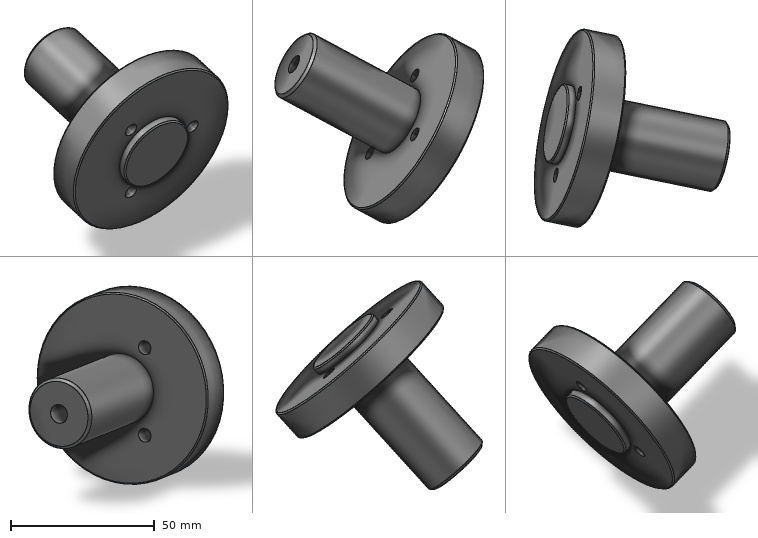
import cadquery as cq
import math

shaft_diameter = 25.0
shaft_length = 45.0
shaft_chamfer = 1.0

flange_diameter = 68.0
flange_thickness = 12.0
flange_chamfer = 0.5

spigot_diameter = 28.0
spigot_length = 3.0
spigot_chamfer = 0.5

bolt_hole_diameter = 4.917
bolt_hole_count = 3
bolt_circle_radius = 18.0

center_hole_diameter = 6.647
center_hole_depth = 20.0
drill_point_angle = 118.0

shaft_end_x = -shaft_length
flange_back_x = flange_thickness


def disc(start_x, diameter, length):
    """Cylinder on the X axis running from start_x toward +X."""
    return cq.Workplane("YZ", origin=(start_x, 0, 0)).circle(diameter / 2).extrude(length)


def make_shaft():
    shaft = disc(shaft_end_x, shaft_diameter, shaft_length)
    return shaft.faces("<X").chamfer(shaft_chamfer)


def make_flange():
    flange = disc(0, flange_diameter, flange_thickness)
    return flange.edges().chamfer(flange_chamfer)


def make_spigot():
    spigot = disc(flange_back_x, spigot_diameter, spigot_length)
    return spigot.faces(">X").chamfer(spigot_chamfer)


def make_bolt_holes():
    """Cutters for the flange holes, the first one on the +Y axis."""
    return (
        cq.Workplane("YZ")
        .polarArray(bolt_circle_radius, 0, 360, bolt_hole_count)
        .circle(bolt_hole_diameter / 2)
        .extrude(flange_thickness)
    )


def make_center_hole():
    """Cutter for the drilled hole: a cylinder ending in a cone."""
    radius = center_hole_diameter / 2
    point_length = radius / math.tan(math.radians(drill_point_angle / 2))
    bottom_x = shaft_end_x + center_hole_depth
    return (
        cq.Workplane("XY")
        .moveTo(shaft_end_x, 0)
        .lineTo(shaft_end_x, radius)
        .lineTo(bottom_x, radius)
        .lineTo(bottom_x + point_length, 0)
        .close()
        .revolve(360, (0, 0, 0), (1, 0, 0))
    )


body = make_shaft().union(make_flange()).union(make_spigot())
result = body.cut(make_bolt_holes()).cut(make_center_hole())